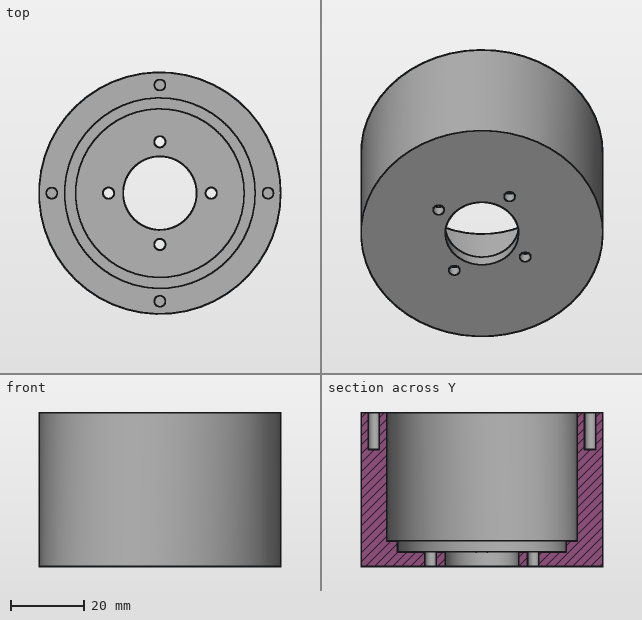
import cadquery as cq

OUTER_DIAMETER = 66.0
HEIGHT = 42.0

BORE_DIAMETER = 52.0
BORE_DEPTH = 35.0
RECESS_DIAMETER = 46.0
FLOOR_THICKNESS = 4.0

CENTER_HOLE_DIAMETER = 20.0
SCREW_HOLE_DIAMETER = 3.0
FLOOR_HOLE_CIRCLE_RADIUS = 14.0

RIM_HOLE_CIRCLE_RADIUS = (OUTER_DIAMETER + BORE_DIAMETER) / 4
RIM_HOLE_DEPTH = 10.0

HOLES_PER_CIRCLE = 4


def cylinder(diameter, bottom, top):
    """Vertical cylinder on the part axis between two heights."""
    return cq.Workplane("XY").workplane(offset=bottom).circle(diameter / 2).extrude(top - bottom)


def screw_holes(circle_radius, bottom, top):
    """Ring of equally spaced screw-hole cutters, the first one on +X."""
    return (
        cq.Workplane("XY")
        .workplane(offset=bottom)
        .polarArray(circle_radius, 0, 360, HOLES_PER_CIRCLE)
        .circle(SCREW_HOLE_DIAMETER / 2)
        .extrude(top - bottom)
    )


ledge_height = HEIGHT - BORE_DEPTH
body = cylinder(OUTER_DIAMETER, 0, HEIGHT)
body = body.cut(cylinder(BORE_DIAMETER, ledge_height, HEIGHT))
body = body.cut(cylinder(RECESS_DIAMETER, FLOOR_THICKNESS, ledge_height))

body = body.cut(cylinder(CENTER_HOLE_DIAMETER, 0, FLOOR_THICKNESS))
body = body.cut(screw_holes(FLOOR_HOLE_CIRCLE_RADIUS, 0, FLOOR_THICKNESS))

result = body.cut(screw_holes(RIM_HOLE_CIRCLE_RADIUS, HEIGHT - RIM_HOLE_DEPTH, HEIGHT))